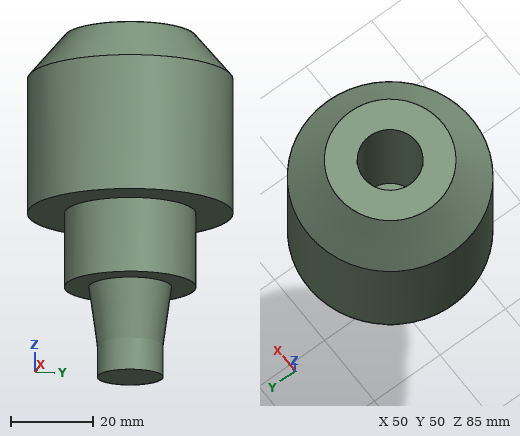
import cadquery as cq

body_diameter = 50.0
collar_diameter = 32.0
top_face_diameter = collar_diameter
tip_diameter = 16.0
taper_top_diameter = 20.15
bore_diameter = tip_diameter

total_height = 85.0
tip_top = 7.8
taper_top = 22.5
collar_top = 41.0
shoulder_height = 74.5

bore_depth = 34.0


def turned_profile():
    """Half section of the outer shape, in the XZ plane."""
    return (
        cq.Workplane("XZ")
        .lineTo(tip_diameter / 2, 0)
        .lineTo(tip_diameter / 2, tip_top)
        .lineTo(taper_top_diameter / 2, taper_top)
        .lineTo(collar_diameter / 2, taper_top)
        .lineTo(collar_diameter / 2, collar_top)
        .lineTo(body_diameter / 2, collar_top)
        .lineTo(body_diameter / 2, shoulder_height)
        .lineTo(top_face_diameter / 2, total_height)
        .lineTo(0, total_height)
        .close()
    )


body = turned_profile().revolve(360, (0, 0, 0), (0, 1, 0))
result = body.faces(">Z").workplane().hole(bore_diameter, bore_depth)